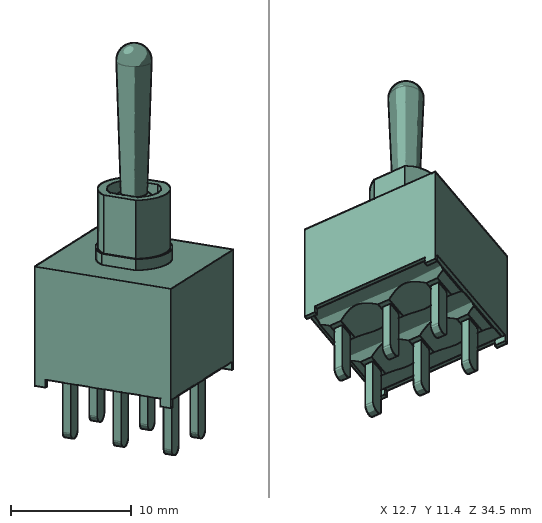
import cadquery as cq
import math


case_length = 12.7
case_depth = 11.43
case_bottom = 5.97
case_top = 15.75
foot_bottom = 5.28
foot_length = 1.0
case_wall = 0.35
recess_depth = 1.05
recess_length = case_length - 2 * case_wall
recess_width = case_depth - 2 * case_wall
recess_top = case_bottom + recess_depth

collar_diameter = 6.4
collar_flats = 5.55
collar_top = 16.7
bushing_diameter = 6.05
bushing_flats = 5.25
bushing_top = 21.8
bore_diameter = 4.5
bore_flats = 3.65

lever_top = 34.52
tip_radius = 1.5
stick_base_radius = 1.1
dome_drop = 0.07

terminal_thickness = 0.75
terminal_width = 1.3
pitch_x = 4.7
pitch_y = 4.87
columns = 3
rows = 2
mound_bottom = 5.5
mound_length = 1.07
mound_width = 2.25
valley_floor_x = 5.9
valley_floor_y = 6.08


def flatted_cylinder(diameter, flats, bottom, top):
    """Upright cylinder with two flats facing -Y and +Y."""
    height = top - bottom
    cylinder = cq.Workplane("XY").workplane(offset=bottom).circle(diameter / 2).extrude(height)
    slab = cq.Workplane("XY").workplane(offset=bottom).rect(diameter, flats).extrude(height)
    return cylinder.intersect(slab)


def upright_box(length, depth, bottom, top):
    """Box centred on the Z axis between two heights."""
    return cq.Workplane("XY").workplane(offset=bottom).rect(length, depth).extrude(top - bottom)


bore = flatted_cylinder(bore_diameter, bore_flats, case_top, bushing_top)


def make_case():
    """Block with a foot at each corner and the recess that takes the base."""
    block = upright_box(case_length, case_depth, case_bottom, case_top)
    feet = (
        cq.Workplane("XY").workplane(offset=foot_bottom)
        .rect(case_length - foot_length, case_depth - case_wall, forConstruction=True)
        .vertices()
        .rect(foot_length, case_wall)
        .extrude(case_bottom - foot_bottom)
    )
    recess = upright_box(recess_length, recess_width, case_bottom, recess_top)
    return block.union(feet).cut(recess)


def make_collar():
    """Slightly wider ring between the case and the bushing."""
    return flatted_cylinder(collar_diameter, collar_flats, case_top, collar_top).cut(bore)


def make_bushing():
    """Sleeve that guides the lever."""
    return flatted_cylinder(bushing_diameter, bushing_flats, collar_top, bushing_top).cut(bore)


def make_lever():
    """Turned lever, with its foot trimmed to the flats of the bore."""
    foot_radius = bore_diameter / 2
    dome_bottom = bushing_top - dome_drop - foot_radius
    dome_side = foot_radius * math.sqrt(0.5)
    stick_bottom = dome_bottom + math.sqrt(foot_radius**2 - stick_base_radius**2)
    tip_bottom = lever_top - tip_radius
    tip_side = tip_radius * math.sqrt(0.5)
    profile = (
        cq.Workplane("XZ")
        .moveTo(0, case_top)
        .lineTo(foot_radius, case_top)
        .lineTo(foot_radius, dome_bottom)
        .threePointArc((dome_side, dome_bottom + dome_side), (stick_base_radius, stick_bottom))
        .lineTo(tip_radius, tip_bottom)
        .threePointArc((tip_side, tip_bottom + tip_side), (0, lever_top))
        .close()
    )
    turned = profile.revolve(360, (0, 0, 0), (0, 1, 0))
    flats = upright_box(bore_diameter, bore_flats, case_top, lever_top)
    return turned.intersect(flats)


def centres(count, pitch):
    """Evenly spaced positions, symmetric about zero."""
    return [(i - (count - 1) / 2) * pitch for i in range(count)]


def scalloped_slab(plane, length, thickness, count, pitch, mound, valley_floor):
    """Slab with an underside of flats, one per terminal, joined by concave arcs."""
    half_gap = (pitch - mound) / 2
    edge = length / 2
    sag = valley_floor - mound_bottom
    arc_radius = (half_gap**2 + sag**2) / (2 * sag)
    hollow_centre = valley_floor - arc_radius
    slab = (
        cq.Workplane(plane)
        .moveTo(-edge, mound_bottom)
        .lineTo(edge, mound_bottom)
        .lineTo(edge, recess_top)
        .lineTo(-edge, recess_top)
        .close()
        .extrude(thickness / 2, both=True)
    )
    for middle in centres(count + 1, pitch):
        hollow = (
            cq.Workplane(plane)
            .center(middle, hollow_centre)
            .circle(arc_radius)
            .extrude(thickness, both=True)
        )
        slab = slab.cut(hollow)
    return slab


def make_terminal(x, y):
    """Flat terminal with a fully rounded lower end."""
    round_radius = terminal_width / 2
    return (
        cq.Workplane("YZ").workplane(offset=x - terminal_thickness / 2)
        .moveTo(y - round_radius, case_bottom)
        .lineTo(y - round_radius, round_radius)
        .threePointArc((y, 0), (y + round_radius, round_radius))
        .lineTo(y + round_radius, case_bottom)
        .close()
        .extrude(terminal_thickness)
    )


def make_base():
    """Potting with a hollowed mound at the root of each terminal, and the terminals."""
    along_x = scalloped_slab(
        "XZ", recess_length, recess_width, columns, pitch_x, mound_length, valley_floor_x
    )
    along_y = scalloped_slab(
        "YZ", recess_width, recess_length, rows, pitch_y, mound_width, valley_floor_y
    )
    base = along_x.intersect(along_y)
    for x in centres(columns, pitch_x):
        for y in centres(rows, pitch_y):
            base = base.union(make_terminal(x, y))
    return base


case = make_case()
collar = make_collar()
bushing = make_bushing()
lever = make_lever()
base = make_base()

result = cq.Compound.makeCompound(
    [case.val(), collar.val(), bushing.val(), lever.val(), base.val()]
)